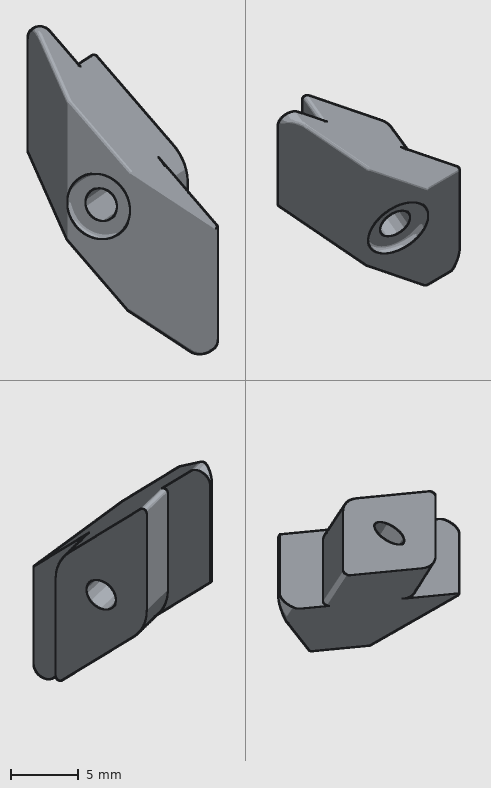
import cadquery as cq
import math

length_x = 15.11
length_z = 23.47
wedge_depth = 4.72
tongue_depth = 2.98
front_face_width = 5.02
side_wall_depth = 0.33
corner_radius = 0.99
edge_radius = 0.25
tongue_corner_radius = 0.3
tongue_draft = 0.05
bore_diameter = 2.5
recess_diameter = 5.02
recess_depth = 0.5
recess_fillet = 0.3

half_x = length_x / 2
acute_corner_z = length_z / 2 + corner_radius * math.sqrt(2)
slant_offset = acute_corner_z - half_x
tongue_radius = slant_offset / math.sqrt(2)


def slanted_plate(half_width, back_y, front_y):
    """Parallelogram plate with two upright sides and two 45 degree sides."""
    corners = [
        (-half_width, half_width + slant_offset),
        (half_width, slant_offset - half_width),
        (half_width, -half_width - slant_offset),
        (-half_width, half_width - slant_offset),
    ]
    plate = cq.Workplane("XZ").workplane(offset=-back_y).polyline(corners).close()
    return plate.extrude(back_y - front_y)


def corner_edges(half_width, corner_z):
    """Selector for the two opposite edges running front to back near +-(half_width, corner_z)."""
    reach = 0.12

    def box(x, z):
        return cq.selectors.BoxSelector(
            (x - reach, -length_z, z - reach), (x + reach, length_z, z + reach)
        )

    return box(half_width, corner_z) + box(-half_width, -corner_z)


def make_wedge():
    """Plate tapered toward the front, with its front edges rounded."""
    plate = slanted_plate(half_x, 0, -wedge_depth)
    plate = plate.edges(corner_edges(-half_x, acute_corner_z)).fillet(corner_radius)
    half_front = front_face_width / 2
    profile = [
        (-half_x, 0),
        (half_x, 0),
        (half_x, -side_wall_depth),
        (half_front, -wedge_depth),
        (-half_front, -wedge_depth),
        (-half_x, -side_wall_depth),
    ]
    taper = cq.Workplane("XY").polyline(profile).close().extrude(length_z, both=True)
    wedge = plate.intersect(taper)
    front_edges = "not (|Y or >Y)"
    return wedge.edges(front_edges).fillet(edge_radius)


def make_tongue():
    """Slanted block with drafted upright sides; its blunt corners follow a circle about the bore axis."""
    tongue = slanted_plate(tongue_radius, tongue_depth, 0)
    half_back = tongue_radius - tongue_draft
    profile = [
        (-tongue_radius, 0),
        (tongue_radius, 0),
        (half_back, tongue_depth),
        (-half_back, tongue_depth),
    ]
    drafted_sides = cq.Workplane("XY").polyline(profile).close().extrude(length_z, both=True)
    tongue = tongue.intersect(drafted_sides)
    acute_z = tongue_radius + slant_offset
    blunt_z = slant_offset - tongue_radius
    tongue = tongue.edges(corner_edges(-tongue_radius, acute_z)).fillet(tongue_corner_radius)
    return tongue.edges(corner_edges(tongue_radius, blunt_z)).fillet(tongue_radius)


def make_bore():
    """Through hole along Y."""
    bore = cq.Workplane("XZ").workplane(offset=-tongue_depth).circle(bore_diameter / 2)
    return bore.extrude(tongue_depth + wedge_depth)


def make_recess():
    """Shallow round recess in the front face, with a rounded floor edge."""
    recess = cq.Workplane("XZ").workplane(offset=wedge_depth - recess_depth)
    recess = recess.circle(recess_diameter / 2).extrude(2 * recess_depth)
    return recess.faces(">Y").edges().fillet(recess_fillet)


result = make_wedge().union(make_tongue()).cut(make_bore()).cut(make_recess())